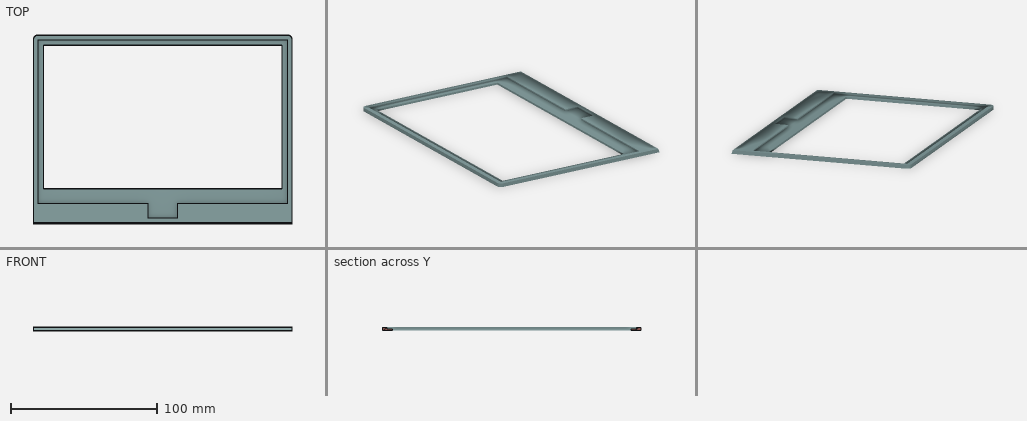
import cadquery as cq

width = 177.0
depth = 129.2
thickness = 2.7
corner_radius = 3.0
front_lean = 0.9

rim = 3.2
recess_depth = 1.2
recess_length = 111.9

ledge = 3.9
window_length = 97.9

notch_width = 20.2
notch_length = 10.0

back_y = depth / 2
front_y = -depth / 2
recess_back_y = back_y - rim
recess_front_y = recess_back_y - recess_length
recess_width = width - 2 * rim
floor_z = thickness - recess_depth


def box_behind(front, size_x, size_y, bottom, size_z):
    """Box centred on X that starts at Y = front and Z = bottom."""
    box = cq.Workplane("XY").box(size_x, size_y, size_z, centered=(True, False, False))
    return box.translate((0, front, bottom))


def make_plate():
    """Plate with a leaning front face and two rounded back corners."""
    profile = [
        (front_y, 0),
        (back_y, 0),
        (back_y, thickness),
        (front_y + front_lean, thickness),
    ]
    plate = cq.Workplane("YZ").polyline(profile).close().extrude(width / 2, both=True)
    return plate.edges("|Z and >Y").fillet(corner_radius)


def make_recess():
    """Pocket for the panel, together with its connector notch."""
    pocket = box_behind(recess_front_y, recess_width, recess_length, floor_z, recess_depth)
    notch = box_behind(recess_front_y - notch_length, notch_width, notch_length, floor_z, recess_depth)
    return pocket.union(notch)


def make_window():
    """Opening through the full thickness, with a ledge around it."""
    window_front_y = recess_back_y - ledge - window_length
    return box_behind(window_front_y, recess_width - 2 * ledge, window_length, 0, thickness)


result = make_plate().cut(make_recess()).cut(make_window())